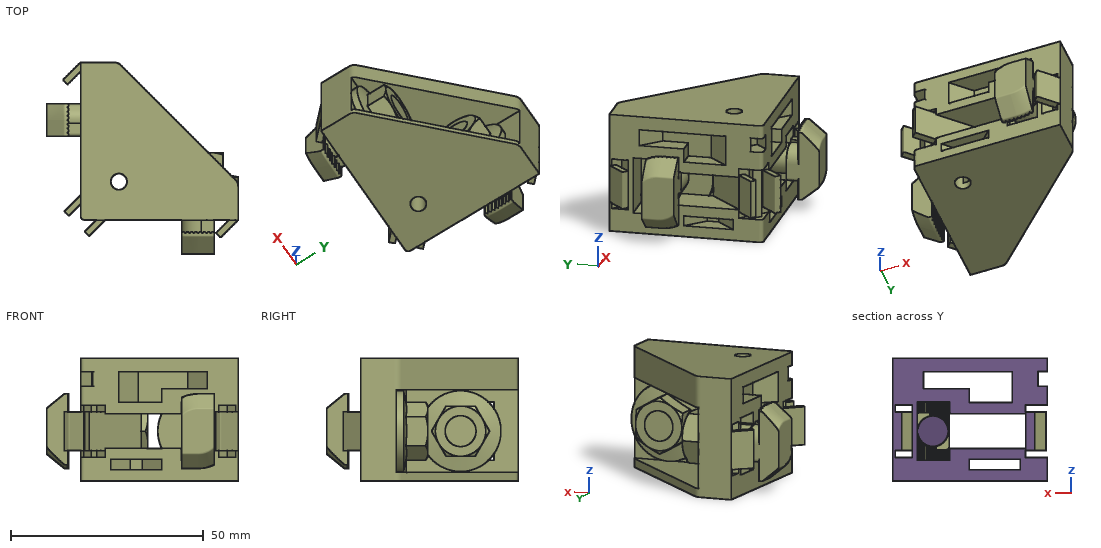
import cadquery as cq
import math


overall_x = 49.85
overall_y = 49.8
height = 32.0
head_reach = 8.8
leg = overall_y - head_reach

leg_end = 9.7
leg_end_round = 2.55
corner_round = 1.05
wall = 9.25

axis_z = 13.0
flange_diameter = 21.0
front_bolt_x = overall_x - head_reach - flange_diameter / 2
side_bolt_y = 25.95
shank_diameter = 8.0
head_width = 8.5
head_half_length = 9.7
head_face_half_length = 5.95
head_back = 3.05
head_lip = 1.15
head_edge_round = 0.6
groove_pitch = 1.1
groove_count = 9
groove_width = 0.8
groove_depth = 0.4
lug_start = 0.8
lug_reach = 4.85
lug_round = 0.9
flange_thickness = 1.9
nut_cone_height = 0.8
nut_width = 13.05
nut_height = 8.2
nut_corner_radius = nut_width / math.sqrt(3)
nut_chamfer_angle = 30.0

slot_height = 8.9
window_height = 15.1
window_start = 26.2
window_end = 34.6
window_edge_round = 0.4
cavity_height = 21.45

pocket_depth = 5.1
upper_pocket_start = 9.9
upper_pocket_step = 21.1
upper_pocket_end = 32.95
upper_pocket_top = 28.4
upper_pocket_ledge = 24.05
upper_pocket_bottom = 20.5
lower_pocket_start = 7.85
lower_pocket_end = upper_pocket_step
lower_pocket_top = 5.7
lower_pocket_bottom = 3.0

hole_diameter = 4.15
hole_place = 9.95
corner_notch_top = 28.45
corner_notch_bottom = 24.7
corner_notch_across = 3.2
corner_notch_along = 8.95

tab_notch_height = 13.55
tab_height = 10.05
tab_across = 2.45
tab_tip_round = 0.25
corner_notch_leg = 6.5
front_slot_start = corner_notch_leg
side_slot_start = 6.15
corner_tab_tip = -1.95
rib_tip = 3.75
rib_across = 1.95
end_notch_start = 35.95
end_notch_end = 40.3
end_tab_tip = 31.8

pick_margin = 0.5

VERTICAL_AXIS = ((0, 0, 0), (0, 0, 1))
BOLT_AXIS = ((0, 0, 0), (0, 1, 0))


def plan_point(along, across):
    return ((along + across) / 2, (along - across) / 2)


def prism(points, bottom, top):
    """Vertical prism over a plan outline."""
    return cq.Workplane("XY").workplane(offset=bottom).polyline(points).close().extrude(top - bottom)


def centred_prism(points, prism_height):
    """Vertical prism centred on the height of the bolt axes."""
    return prism(points, axis_z - prism_height / 2, axis_z + prism_height / 2)


def diagonal_strip(along_start, along_end, across_start, across_end):
    """Plan outline of a rectangle turned 45 degrees."""
    return [
        plan_point(along_start, across_start),
        plan_point(along_start, across_end),
        plan_point(along_end, across_end),
        plan_point(along_end, across_start),
    ]


def mirrored(body):
    """Copy of a body on the other side of the plane x = y."""
    return body.mirror("XZ").rotate(*VERTICAL_AXIS, 90)


def bracket_block():
    outline = [(0, 0), (leg, 0), (leg, leg_end), (leg_end, leg), (0, leg)]
    block = prism(outline, 0, height)
    block = block.edges("|Z").edges("<(1, 1, 0)").fillet(corner_round)
    slope_edges = cq.selectors.BoxSelector(
        (leg_end - pick_margin, leg_end - pick_margin, 0),
        (leg + pick_margin, leg + pick_margin, height),
    )
    return block.edges("|Z").edges(slope_edges).fillet(leg_end_round)


def bolt_opening(slot_start):
    """Slot beside the 45 degree face of the corner block, ending in a taller window."""
    slot = centred_prism(
        [(slot_start, 0), (slot_start + wall, wall), (window_end, wall), (window_end, 0)],
        slot_height,
    )
    window = centred_prism(
        [(window_start, 0), (window_end, 0), (window_end, wall), (window_start, wall)],
        window_height,
    )
    opening = slot.union(window)
    step_edges = cq.selectors.BoxSelector(
        (window_start - pick_margin, 0, axis_z - slot_height / 2 - pick_margin),
        (window_start + pick_margin, wall, axis_z + slot_height / 2 + pick_margin),
    )
    return opening.edges("|Y").edges(step_edges).fillet(window_edge_round)


def tapered_pocket(start, end, bottom, top):
    """Pocket whose two ends slope inwards at 45 degrees."""
    outline = [
        (start, 0),
        (end, 0),
        (end - pocket_depth, pocket_depth),
        (start + pocket_depth, pocket_depth),
    ]
    return prism(outline, bottom, top)


def upper_pocket():
    """L-shaped pocket: the part below the ledge stops square at the step."""
    full = tapered_pocket(upper_pocket_start, upper_pocket_end, upper_pocket_bottom, upper_pocket_top)
    ledge = prism(
        [
            (upper_pocket_step, 0),
            (upper_pocket_end, 0),
            (upper_pocket_end, pocket_depth),
            (upper_pocket_step, pocket_depth),
        ],
        upper_pocket_bottom,
        upper_pocket_ledge,
    )
    return full.cut(ledge)


def lower_pocket():
    return tapered_pocket(lower_pocket_start, lower_pocket_end, lower_pocket_bottom, lower_pocket_top)


def end_notch():
    """Triangular notch that frees the tab at the end of a leg."""
    apex = plan_point(end_notch_end, end_notch_start)
    return centred_prism([(end_notch_start, 0), (end_notch_end, 0), apex], tab_notch_height)


def tab(tip, root, outer_across, rounded_edge):
    """Spring tab pointing towards the corner, with one rounded tip edge."""
    outline = diagonal_strip(tip, root, outer_across - tab_across, outer_across)
    body = centred_prism(outline, tab_height)
    return body.edges("|Z").edges(rounded_edge).fillet(tab_tip_round)


def nut_cavity():
    """Space behind both walls, open to the sloping face."""
    return centred_prism([(wall, wall), (leg, wall), (leg, leg), (wall, leg)], cavity_height)


def corner_recess():
    """Tab notch that cuts off the corner, leaving the rib on the diagonal."""
    notch = centred_prism([(0, 0), (corner_notch_leg, 0), (0, corner_notch_leg)], tab_notch_height)
    rib = centred_prism(
        diagonal_strip(rib_tip, corner_notch_leg, -rib_across, rib_across), tab_notch_height
    )
    return notch.cut(rib)


def corner_notch():
    """Straight notch through the upper part of the corner, running in along the diagonal."""
    outline = diagonal_strip(0, corner_notch_along, -corner_notch_across, corner_notch_across)
    return prism(outline, corner_notch_bottom, corner_notch_top)


def make_bracket():
    bracket = bracket_block()
    bracket = bracket.cut(bolt_opening(front_slot_start)).cut(mirrored(bolt_opening(side_slot_start)))
    for cutter in (upper_pocket(), lower_pocket(), end_notch()):
        bracket = bracket.cut(cutter).cut(mirrored(cutter))
    hole = cq.Workplane("XY").center(hole_place, hole_place).circle(hole_diameter / 2).extrude(height)
    for cutter in (nut_cavity(), corner_recess(), corner_notch(), hole):
        bracket = bracket.cut(cutter)
    corner_tab = tab(corner_tab_tip, corner_notch_leg, corner_notch_leg, "<X")
    end_tab = tab(end_tab_tip, leg, leg, "<Y")
    for spring_tab in (corner_tab, end_tab):
        bracket = bracket.union(spring_tab).union(mirrored(spring_tab))
    return bracket


def with_opposite(half):
    """Join a half to its copy turned 180 degrees about the bolt axis."""
    return half.union(half.rotate(*BOLT_AXIS, 180))


def bolt_head():
    """Hammer head: two opposite quarters are square, the other two are turned."""
    profile = cq.Sketch().polygon([
        (-head_back, 0),
        (-head_back, head_half_length),
        (-head_back - head_lip, head_half_length),
        (-head_reach, head_face_half_length),
        (-head_reach, 0),
        (-head_back, 0),
    ])
    slope_ends = cq.selectors.BoxSelector(
        (-head_reach - pick_margin, head_face_half_length - pick_margin, -pick_margin),
        (-head_back - head_lip / 2, head_half_length + pick_margin, pick_margin),
    )
    profile = profile.vertices(slope_ends).fillet(head_edge_round)
    square_quarter = cq.Workplane("YZ").placeSketch(profile).extrude(head_width / 2)
    turned = cq.Workplane("YZ").placeSketch(profile).revolve(360, (0, 0, 0), (1, 0, 0))
    quarter_space = cq.Workplane("XY").box(
        head_width / 2, head_reach, head_half_length, centered=False
    ).translate((-head_width / 2, -head_reach, 0))
    head = with_opposite(square_quarter.union(turned.intersect(quarter_space)))
    return head.cut(grip_grooves())


def grip_grooves():
    """V grooves across the clamping face of the head."""
    first = -(groove_count - 1) / 2 * groove_pitch
    grooves = cq.Workplane("XY").workplane(offset=-head_half_length)
    for index in range(groove_count):
        middle = first + index * groove_pitch
        grooves = grooves.polyline([
            (middle - groove_width / 2, -head_back),
            (middle, -head_back - groove_depth),
            (middle + groove_width / 2, -head_back),
        ]).close()
    return grooves.extrude(2 * head_half_length)


def bolt_neck():
    """Round neck with two opposite locking lugs; it ends at the bracket face."""
    neck_length = head_back + groove_depth
    start = cq.Workplane("XZ", origin=(0, -neck_length, 0))
    round_neck = start.circle(head_width / 2).extrude(-neck_length)
    lug = (
        start.moveTo(lug_start, 0)
        .rect(head_width / 2 - lug_start, lug_reach, centered=False)
        .extrude(-neck_length)
        .edges("|Y").edges(">(1, 0, 1)")
        .fillet(lug_round)
    )
    return round_neck.union(with_opposite(lug))


def make_bolt():
    """Bolt along +Y, with the bracket face at y = 0."""
    shank = cq.Workplane("XZ").circle(shank_diameter / 2).extrude(-(wall + nut_height))
    return bolt_head().union(bolt_neck()).union(shank)


def turned_about_bolt_axis(profile):
    """Solid of revolution about the Y axis from (radius, y) points."""
    return cq.Workplane("XY").polyline(profile).close().revolve(360, (0, 0, 0), (0, 1, 0))


def make_nut():
    """Flange nut along +Y, with its flange against the back of the wall."""
    start = cq.Workplane("XZ", origin=(0, wall, 0))
    nut_end = wall + nut_height
    flange_end = wall + flange_thickness
    chamfer_height = (nut_corner_radius - nut_width / 2) * math.tan(math.radians(nut_chamfer_angle))
    hexagon = start.transformed(rotate=(0, 0, 90)).polygon(6, 2 * nut_corner_radius).extrude(-nut_height)
    chamfer_envelope = turned_about_bolt_axis([
        (0, wall),
        (nut_corner_radius, wall),
        (nut_corner_radius, nut_end - chamfer_height),
        (nut_width / 2, nut_end),
        (0, nut_end),
    ])
    flange = turned_about_bolt_axis([
        (0, wall),
        (flange_diameter / 2, wall),
        (flange_diameter / 2, flange_end),
        (nut_width / 2, flange_end + nut_cone_height),
        (0, flange_end + nut_cone_height),
    ])
    bore = start.circle(shank_diameter / 2).extrude(-nut_height)
    return hexagon.intersect(chamfer_envelope).union(flange).cut(bore)


def on_front_wall(body):
    return body.translate((front_bolt_x, 0, axis_z))


def on_side_wall(body):
    return body.rotate(*VERTICAL_AXIS, -90).translate((0, side_bolt_y, axis_z))


bracket = make_bracket()
bolt = make_bolt()
nut = make_nut()
turned_nut = nut.rotate(*BOLT_AXIS, 90)

bolts = [on_front_wall(bolt), on_side_wall(bolt)]
nuts = [on_front_wall(nut), on_side_wall(turned_nut)]

result = cq.Compound.makeCompound([body.val() for body in [bracket, *bolts, *nuts]])